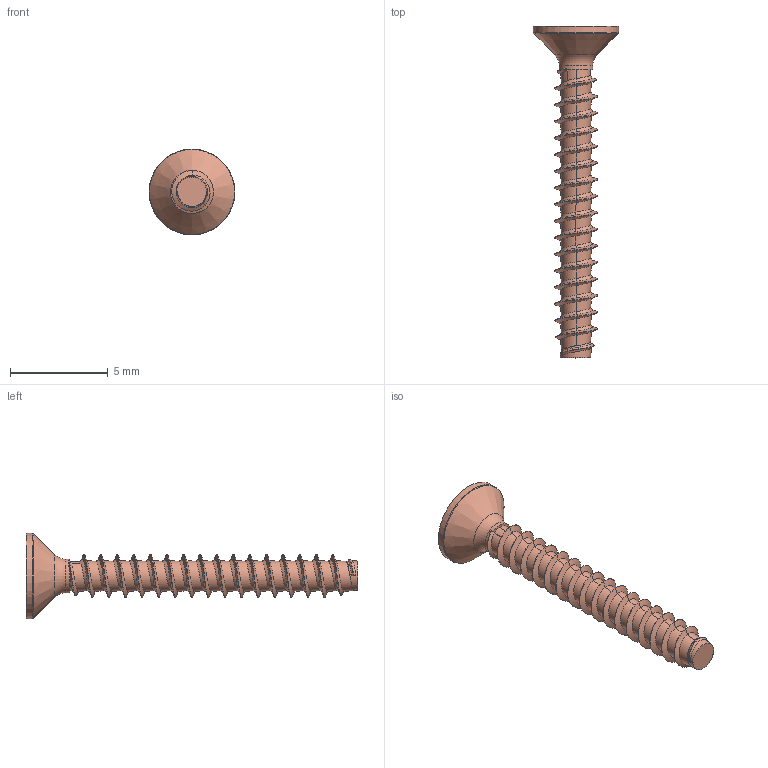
import cadquery as cq
import math

overall_length = 17.0
tip_allowance = 1.0

head_diameter = 4.4
head_rim_depth = 0.36
head_edge_fillet_radius = 0.06
head_flank_angle = 45.0
neck_diameter = 1.72
neck_fillet_radius = 0.8
neck_end_depth = 2.23

core_diameter = 1.47

thread_pitch = 0.85
thread_diameter = 2.2
thread_crest_width = 0.016
foot_offset = -0.33
kink_offset = -0.085
kink_diameter = 1.66
land_start_offset = 0.12
land_start_diameter = 1.6
land_end_offset = 0.66
land_end_diameter = 1.485
base_diameter = 1.4

thread_start_angle = 125.0
full_height_angle = 90.0
thread_start_depth = 2.2
thread_start_diameter = 1.88
full_turns = 15
fade_out_turns = 1.25
points_per_turn = 8

untrimmed_length = overall_length + tip_allowance
head_radius = head_diameter / 2
neck_radius = neck_diameter / 2
core_radius = core_diameter / 2
thread_radius = thread_diameter / 2
thread_start_radius = thread_start_diameter / 2
land_start_radius = land_start_diameter / 2
land_end_radius = land_end_diameter / 2
base_radius = base_diameter / 2


def make_body():
    """Revolve the head, the filleted neck and the plain core, left overlong at the tip."""
    flank = math.radians(head_flank_angle)
    fillet_top_radius = neck_radius + neck_fillet_radius * (1 - math.cos(flank))
    edge_trim = head_edge_fillet_radius * math.tan(flank / 2)
    edge_end_depth = head_rim_depth + edge_trim * math.cos(flank)
    edge_end_radius = head_radius - edge_trim * math.sin(flank)
    fillet_top_depth = head_rim_depth + (head_radius - fillet_top_radius) / math.tan(flank)
    fillet_end_depth = fillet_top_depth + neck_fillet_radius * math.sin(flank)
    return (
        cq.Workplane("YZ")
        .moveTo(0, 0)
        .lineTo(0, head_radius)
        .lineTo(edge_trim - head_rim_depth, head_radius)
        .tangentArcPoint((-edge_end_depth, edge_end_radius), relative=False)
        .lineTo(-fillet_top_depth, fillet_top_radius)
        .tangentArcPoint((-fillet_end_depth, neck_radius), relative=False)
        .lineTo(-neck_end_depth, neck_radius)
        .lineTo(-neck_end_depth, core_radius)
        .lineTo(-untrimmed_length, core_radius)
        .lineTo(-untrimmed_length, 0)
        .close()
        .revolve(360, (0, 0, 0), (1, 0, 0))
        .val()
    )


def helix_point(turn, radius, axial_offset):
    """Point on the thread helix, a number of turns after its start."""
    angle = math.radians(thread_start_angle) + 2 * math.pi * turn
    depth = thread_start_depth + thread_pitch * turn + axial_offset
    return cq.Vector(radius * math.cos(angle), -depth, radius * math.sin(angle))


def helix_edge(first_turn, turns, first_radius, last_radius, axial_offset):
    """Helix whose radius changes evenly from its first to its last point."""
    steps = math.ceil(turns * points_per_turn)
    points = []
    for step in range(steps + 1):
        fraction = step / steps
        radius = first_radius + (last_radius - first_radius) * fraction
        points.append(helix_point(first_turn + turns * fraction, radius, axial_offset))
    return cq.Edge.makeSpline(points)


def thread_section(crest_radius):
    """Corners (radius, axial offset) of the thread section for a given crest radius.

    The offsets and the land stay the same; the kink sinks together with the crest.
    """
    growth = (crest_radius - land_start_radius) / (thread_radius - land_start_radius)
    kink_radius = land_end_radius + growth * (kink_diameter / 2 - land_end_radius)
    return [
        (base_radius, foot_offset),
        (kink_radius, kink_offset),
        (crest_radius, -thread_crest_width / 2),
        (crest_radius, thread_crest_width / 2),
        (land_start_radius, land_start_offset),
        (land_end_radius, land_end_offset),
        (base_radius, land_end_offset),
    ]


def make_thread_part(first_turn, turns, first_crest, last_crest):
    """Stretch of thread, at most one turn long, whose crest radius changes evenly.

    A longer stretch would run into itself, because each land reaches the next foot.
    """
    edges = []
    for first, last in zip(thread_section(first_crest), thread_section(last_crest)):
        first_radius, axial_offset = first
        last_radius = last[0]
        edges.append(helix_edge(first_turn, turns, first_radius, last_radius, axial_offset))
    faces = []
    for index, edge in enumerate(edges):
        faces.append(cq.Face.makeRuledSurface(edges[index - 1], edge))
    start_outline = [edge.startPoint() for edge in edges]
    end_outline = [edge.endPoint() for edge in edges]
    for outline in (start_outline, end_outline):
        faces.append(cq.Face.makeFromWires(cq.Wire.makePolygon(outline, close=True)))
    return cq.Solid.makeSolid(cq.Shell.makeShell(faces)).fix()


def make_thread():
    """Thread that grows at the neck, runs at full height and fades at the tip."""
    fade_in_turns = 1 + (full_height_angle - thread_start_angle) / 360
    fade_out_start = fade_in_turns + full_turns
    parts = [make_thread_part(0, fade_in_turns, thread_start_radius, thread_radius)]
    for turn in range(full_turns):
        parts.append(make_thread_part(fade_in_turns + turn, 1, thread_radius, thread_radius))
    half_fade = fade_out_turns / 2
    half_faded_radius = (thread_radius + land_start_radius) / 2
    parts.append(make_thread_part(fade_out_start, half_fade, thread_radius, half_faded_radius))
    parts.append(
        make_thread_part(fade_out_start + half_fade, half_fade, half_faded_radius, land_start_radius)
    )
    return parts


def make_tip_cutter():
    """Cylinder that squares the tip off at the overall length."""
    tip_center = cq.Vector(0, -overall_length, 0)
    toward_tip = cq.Vector(0, -1, 0)
    return cq.Solid.makeCylinder(head_radius, 2 * tip_allowance, tip_center, toward_tip)


screw = make_body().fuse(*make_thread()).cut(make_tip_cutter())
result = cq.Workplane(screw.Solids()[0])